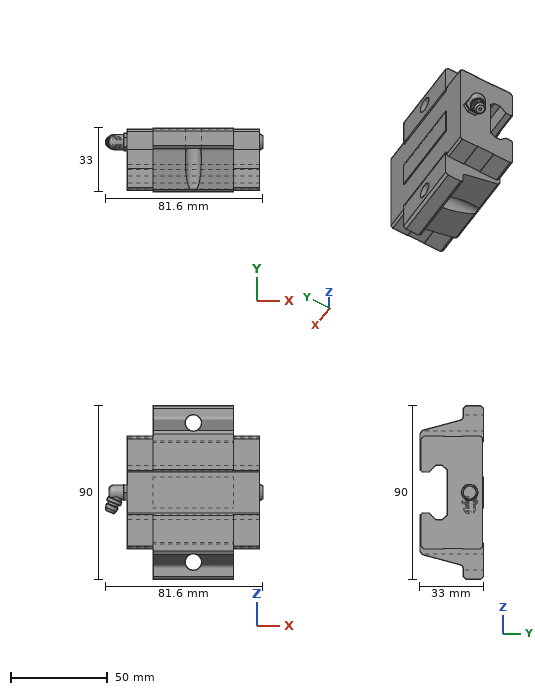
import cadquery as cq
import math

DEPTH = 33.0
FLANGE_SPAN = 90.0
CARRIAGE_LENGTH = 41.6
BLOCK_LENGTH = 68.6

FLANGE_DEPTH = 10.6
FLANGE_CHAMFER = 1.5
SLOPE_ANGLE = 15.0
SLOPE_TOP_Z = 37.85
SLOPE_ROOT_RADIUS = 2.0
SHOULDER_DEPTH = 31.7
FRONT_HALF_HEIGHT = 30.4

BACK_STEP = 0.55
GROOVE_INNER_Z = 8.0
GROOVE_OUTER_Z = 26.0

CAP_HALF_HEIGHT = 29.3
CAP_FRONT = 32.4
CAP_BACK_CHAMFER = 1.2
CAP_FRONT_CHAMFER = 1.6
CAP_RELIEF = 0.3
CAP_RELIEF_START = 11.0
CAP_RELIEF_END = 20.8

CHANNEL_FLOOR = 18.95
CHANNEL_FLOOR_HALF = 11.7
CHANNEL_WIDE_HALF = 14.0
CHANNEL_WIDE_START = 21.4
CHANNEL_WIDE_END = 24.8
LIP_HALF = 10.5
LIP_END = 31.6

HOLE_DIAMETER = 8.38
HOLE_SPACING = 72.0

PORT_DEPTH = 7.2
HEX_FLATS = 8.0
HEX_LENGTH = 1.6
WASHER_DIAMETER = 8.38
WASHER_THICKNESS = 0.3
ELBOW_DIAMETER = 8.0
ELBOW_LENGTH = 9.4
ELBOW_RADIUS = 2.6
NIPPLE_ANGLE = 22.5
NIPPLE_PIVOT = 4.75
STEM_RADIUS = 3.3
COLLAR_RADIUS = 7.85 / 2
NECK_RADIUS = 5.5 / 2
HEAD_RADIUS = 6.6 / 2
HEAD_SHOULDER_RADIUS = 3.05
TIP_RADIUS = 2.2
COLLAR_START = 3.8
COLLAR_END = 6.0
COLLAR_BEVEL = 0.3
HEAD_START = 7.2
HEAD_BEVEL = 0.4
HEAD_SHOULDER_START = 9.5
NIPPLE_END = 11.0
TIP_RECESS_DIAMETER = 1.3
TIP_RECESS_DEPTH = 0.15
PLUG_DIAMETER = 8.38
PLUG_HEIGHT = 1.76
PLUG_END_DIAMETER = 6.6
PLUG_BULGE = 0.08

BACK_Y = DEPTH / 2
PORT_Y = BACK_Y - PORT_DEPTH
CAP_FACE_X = BLOCK_LENGTH / 2


def symmetric_prism(upper_half, length):
    """Extrude along X a section given by its upper half as (depth from back, z) points."""
    lower_half = [(depth, -z) for depth, z in reversed(upper_half)]
    outline = [(BACK_Y - depth, z) for depth, z in upper_half + lower_half]
    return cq.Workplane("YZ").polyline(outline).close().extrude(length / 2, both=True)


def make_carriage():
    top = FLANGE_SPAN / 2
    shoulder_drop = (SHOULDER_DEPTH - FLANGE_DEPTH) * math.tan(math.radians(SLOPE_ANGLE))
    body = symmetric_prism(
        [
            (0, GROOVE_INNER_Z),
            (BACK_STEP, GROOVE_INNER_Z),
            (BACK_STEP, GROOVE_OUTER_Z),
            (0, GROOVE_OUTER_Z + BACK_STEP),
            (0, top - FLANGE_CHAMFER),
            (FLANGE_CHAMFER, top),
            (FLANGE_DEPTH - FLANGE_CHAMFER, top),
            (FLANGE_DEPTH, top - FLANGE_CHAMFER),
            (FLANGE_DEPTH, SLOPE_TOP_Z),
            (SHOULDER_DEPTH, SLOPE_TOP_Z - shoulder_drop),
            (DEPTH, FRONT_HALF_HEIGHT),
        ],
        CARRIAGE_LENGTH,
    )
    for side in (1, -1):
        root = (0, BACK_Y - FLANGE_DEPTH, side * SLOPE_TOP_Z)
        body = body.edges(cq.selectors.NearestToPointSelector(root)).fillet(SLOPE_ROOT_RADIUS)
    return body


def make_caps():
    relieved = CAP_HALF_HEIGHT - CAP_RELIEF
    full = symmetric_prism(
        [
            (BACK_STEP, CAP_HALF_HEIGHT - CAP_BACK_CHAMFER),
            (BACK_STEP + CAP_BACK_CHAMFER, CAP_HALF_HEIGHT),
            (CAP_RELIEF_START, CAP_HALF_HEIGHT),
            (CAP_RELIEF_START, relieved),
            (CAP_RELIEF_END, relieved),
            (CAP_RELIEF_END, CAP_HALF_HEIGHT),
            (CAP_FRONT - CAP_FRONT_CHAMFER, CAP_HALF_HEIGHT),
            (CAP_FRONT, CAP_HALF_HEIGHT - CAP_FRONT_CHAMFER),
        ],
        BLOCK_LENGTH,
    )
    middle = cq.Workplane("XY").box(CARRIAGE_LENGTH, 2 * DEPTH, 2 * FLANGE_SPAN)
    return full.cut(middle)


def make_channel():
    mouth_half = LIP_HALF + DEPTH - LIP_END
    return symmetric_prism(
        [
            (CHANNEL_FLOOR, CHANNEL_FLOOR_HALF),
            (CHANNEL_WIDE_START, CHANNEL_WIDE_HALF),
            (CHANNEL_WIDE_END, CHANNEL_WIDE_HALF),
            (CHANNEL_WIDE_END + CHANNEL_WIDE_HALF - LIP_HALF, LIP_HALF),
            (LIP_END, LIP_HALF),
            (DEPTH, mouth_half),
        ],
        BLOCK_LENGTH,
    )


def make_mounting_holes():
    return (
        cq.Workplane("XZ", origin=(0, DEPTH, 0))
        .pushPoints([(0, HOLE_SPACING / 2), (0, -HOLE_SPACING / 2)])
        .circle(HOLE_DIAMETER / 2)
        .extrude(2 * DEPTH)
    )


def make_elbow():
    cap_face = cq.Plane(origin=(-CAP_FACE_X, PORT_Y, 0), xDir=(0, 1, 0), normal=(-1, 0, 0))
    corner_diameter = HEX_FLATS / math.cos(math.radians(30))
    nut = cq.Workplane(cap_face).polygon(6, corner_diameter).extrude(HEX_LENGTH)
    washer = (
        cq.Workplane(cap_face)
        .workplane(offset=HEX_LENGTH)
        .circle(WASHER_DIAMETER / 2)
        .extrude(WASHER_THICKNESS)
    )
    pipe = cq.Workplane(cap_face).circle(ELBOW_DIAMETER / 2).extrude(ELBOW_LENGTH)
    return nut.union(washer).union(pipe.faces("<X").edges().fillet(ELBOW_RADIUS))


def make_nipple():
    """Turned nipple; its section is drawn as (radius, distance along the nipple axis)."""
    tilt = math.radians(NIPPLE_ANGLE)
    axis = (-math.sin(tilt), 0, -math.cos(tilt))
    pivot = (-CAP_FACE_X - NIPPLE_PIVOT, PORT_Y, 0)
    section_plane = cq.Plane(
        origin=pivot,
        xDir=(math.cos(tilt), 0, -math.sin(tilt)),
        normal=(0, 1, 0),
    )
    bevel_radius = COLLAR_RADIUS - COLLAR_BEVEL
    body = (
        cq.Workplane(section_plane)
        .lineTo(STEM_RADIUS, 0)
        .lineTo(STEM_RADIUS, COLLAR_START)
        .lineTo(bevel_radius, COLLAR_START)
        .lineTo(COLLAR_RADIUS, COLLAR_START + COLLAR_BEVEL)
        .lineTo(COLLAR_RADIUS, COLLAR_END - COLLAR_BEVEL)
        .lineTo(bevel_radius, COLLAR_END)
        .lineTo(NECK_RADIUS, COLLAR_END)
        .lineTo(NECK_RADIUS, HEAD_START)
        .lineTo(HEAD_RADIUS, HEAD_START + HEAD_BEVEL)
        .lineTo(HEAD_SHOULDER_RADIUS, HEAD_SHOULDER_START)
        .lineTo(TIP_RADIUS, NIPPLE_END)
        .lineTo(0, NIPPLE_END)
        .close()
        .revolve(360, (0, 0), (0, 1))
    )
    tip_recess = (
        cq.Workplane(cq.Plane(origin=pivot, xDir=(0, 1, 0), normal=axis))
        .workplane(offset=NIPPLE_END - TIP_RECESS_DEPTH)
        .circle(TIP_RECESS_DIAMETER / 2)
        .extrude(TIP_RECESS_DEPTH)
    )
    return body.cut(tip_recess)


def make_plug():
    base_radius = PLUG_DIAMETER / 2
    end_radius = PLUG_END_DIAMETER / 2
    middle = ((base_radius + end_radius) / 2 + PLUG_BULGE, PLUG_HEIGHT / 2 + PLUG_BULGE)
    section_plane = cq.Plane(origin=(CAP_FACE_X, PORT_Y, 0), xDir=(0, 0, 1), normal=(0, 1, 0))
    return (
        cq.Workplane(section_plane)
        .lineTo(base_radius, 0)
        .threePointArc(middle, (end_radius, PLUG_HEIGHT))
        .lineTo(0, PLUG_HEIGHT)
        .close()
        .revolve(360, (0, 0), (0, 1))
    )


block = make_carriage().union(make_caps()).cut(make_channel()).cut(make_mounting_holes())
result = block.union(make_elbow()).union(make_nipple()).union(make_plug())